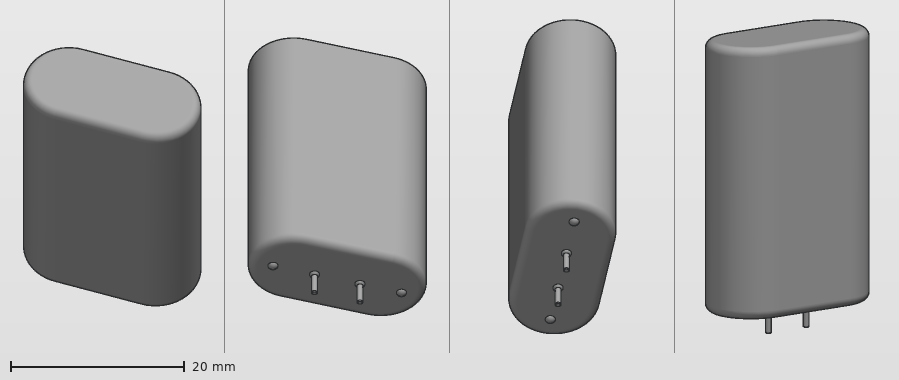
import cadquery as cq

total_height = 34.9
can_length = 21.0
can_width = 10.5
edge_radius = 0.98

pin_length = 2.93
pin_diameter = 0.7
pin_spacing = 5.48
pin_tip_chamfer = 0.1

bead_diameter = 1.2
bead_height = 0.42
standoff_spacing = 15.5

can_height = total_height - pin_length


def bead(x):
    """Spherical cap hanging from the underside of the can, at Z = 0."""
    bead_radius = bead_diameter / 2
    sphere_radius = (bead_radius**2 + bead_height**2) / (2 * bead_height)
    return (
        cq.Workplane("XY")
        .sphere(sphere_radius)
        .translate((x, 0, sphere_radius - bead_height))
    )


def pin(x):
    """Round pin pointing down, with a chamfered tip."""
    return (
        cq.Workplane("XY")
        .center(x, 0)
        .circle(pin_diameter / 2)
        .extrude(-pin_length)
        .faces("<Z")
        .chamfer(pin_tip_chamfer)
    )


result = (
    cq.Workplane("XY")
    .slot2D(can_length, can_width)
    .extrude(can_height)
    .faces("<Z or >Z")
    .edges()
    .fillet(edge_radius)
)

for side in (-1, 1):
    pin_x = side * pin_spacing / 2
    standoff_x = side * standoff_spacing / 2
    result = result.union(bead(pin_x)).union(pin(pin_x)).union(bead(standoff_x))